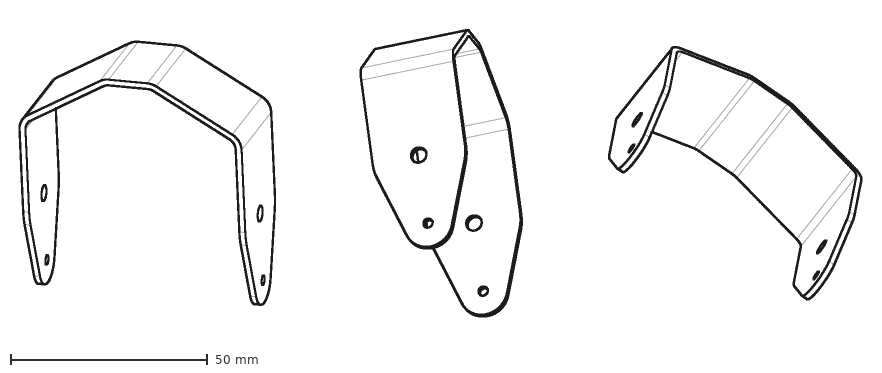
import cadquery as cq
import math

outer_width = 59.45
band_width = 24.4
thickness = 1.6
tilt = 7.5
crown_height = 39.1
crown_half_width = 6.45
slope_angle = 30
bend_radius = 4.7
pivot_diameter = 4.0
lower_hole_diameter = 2.4
hole_spacing = 18.55
tip_radius = 6.3

half_width = outer_width / 2
pivot_radius = band_width / 2
inner_radius = bend_radius - thickness
leg_bottom = -(hole_spacing + tip_radius)
shoulder_height = crown_height - (half_width - crown_half_width) * math.tan(math.radians(slope_angle))


def bent_section(inset, radius):
    """Filled arch inset from the outer faces, with its four bends rounded."""
    crown_x = crown_half_width - inset * math.tan(math.radians(slope_angle / 2))
    crown_z = crown_height - inset
    leg_x = half_width - inset
    shoulder_z = shoulder_height - inset * math.tan(math.radians((90 - slope_angle) / 2))
    outline = [
        (-leg_x, leg_bottom),
        (-leg_x, shoulder_z),
        (-crown_x, crown_z),
        (crown_x, crown_z),
        (leg_x, shoulder_z),
        (leg_x, leg_bottom),
    ]
    solid = cq.Workplane("XZ").polyline(outline).close().extrude(pivot_radius, both=True)
    bends = solid.edges("|Y").edges(cq.selectors.BoxSelector(
        (-outer_width, -band_width, 0), (outer_width, band_width, 2 * crown_height)))
    return bends.fillet(radius)


def side_outline():
    """Leg outline: straight band, round pivot and a tangent taper to the round tip."""
    taper = math.asin((pivot_radius - tip_radius) / hole_spacing)
    across = math.cos(taper)
    down = math.sin(taper)
    pivot_tangent = (pivot_radius * across, -pivot_radius * down)
    tip_tangent = (tip_radius * across, -hole_spacing - tip_radius * down)
    pivot_mid = (pivot_radius * math.cos(taper / 2), -pivot_radius * math.sin(taper / 2))
    return (
        cq.Workplane("YZ")
        .moveTo(-pivot_radius, crown_height)
        .lineTo(pivot_radius, crown_height)
        .lineTo(pivot_radius, 0)
        .threePointArc(pivot_mid, pivot_tangent)
        .lineTo(*tip_tangent)
        .threePointArc((0, leg_bottom), (-tip_tangent[0], tip_tangent[1]))
        .lineTo(-pivot_tangent[0], pivot_tangent[1])
        .threePointArc((-pivot_mid[0], pivot_mid[1]), (-pivot_radius, 0))
        .close()
        .extrude(half_width, both=True)
    )


def cross_hole(height, diameter):
    """Cylinder along X that pierces both legs."""
    return cq.Workplane("YZ").center(0, height).circle(diameter / 2).extrude(half_width, both=True)


strip = bent_section(0, bend_radius).cut(bent_section(thickness, inner_radius))
bracket = strip.intersect(side_outline())

bracket = bracket.cut(cross_hole(0, pivot_diameter))
bracket = bracket.cut(cross_hole(-hole_spacing, lower_hole_diameter))

result = bracket.rotate((0, 0, 0), (1, 0, 0), tilt)